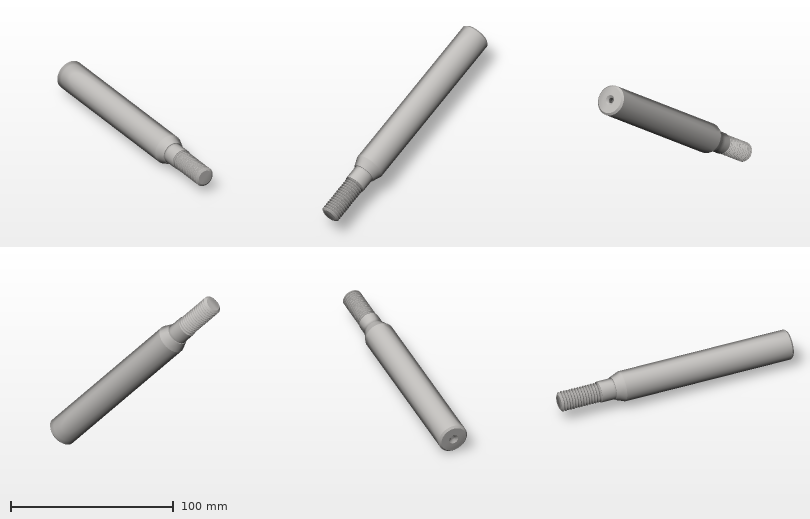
import cadquery as cq
import math

total_length = 152.4
body_diameter = 19.0
end_chamfer = 1.2

taper_start = 111.0
taper_length = 6.0
shoulder_height = 0.6
neck_length = 9.3
neck_diameter = 13.3

thread_diameter = 12.5
tip_diameter = 9.5
tip_length = 1.0
thread_flank_angle = 30.0
crest_width = 0.2
groove_count = 14

countersink_diameter = 6.1
pilot_diameter = 3.4
pilot_depth = 4.5
countersink_angle = 90.0
drill_point_angle = 120.0

plain_end = -total_length / 2
stud_end = total_length / 2
taper_x = plain_end + taper_start
neck_x = taper_x + taper_length
thread_x = neck_x + neck_length

body_radius = body_diameter / 2
neck_radius = neck_diameter / 2
taper_end_radius = neck_radius + shoulder_height
crest_radius = thread_diameter / 2
thread_length = stud_end - thread_x
thread_pitch = (thread_length - tip_length) / groove_count
groove_width = thread_pitch - crest_width
groove_depth = groove_width / 2 / math.tan(math.radians(thread_flank_angle))
root_radius = crest_radius - groove_depth


def revolve_about_x(profile):
    """Turn a closed half section, drawn in XZ, into a solid of revolution about X."""
    return profile.revolve(360, (0, 0, 0), (1, 0, 0))


def shaft_profile():
    """Half section of the shaft, from the plain end to the threaded tip."""
    profile = (
        cq.Workplane("XZ")
        .moveTo(plain_end, 0)
        .lineTo(plain_end, body_radius - end_chamfer)
        .lineTo(plain_end + end_chamfer, body_radius)
        .lineTo(taper_x, body_radius)
        .lineTo(neck_x, taper_end_radius)
        .lineTo(neck_x, neck_radius)
        .lineTo(thread_x, neck_radius)
    )
    for groove in range(groove_count):
        groove_x = thread_x + groove * thread_pitch
        profile = profile.lineTo(groove_x, crest_radius)
        profile = profile.lineTo(groove_x + groove_width / 2, root_radius)
        profile = profile.lineTo(groove_x + groove_width, crest_radius)
    return (
        profile.lineTo(stud_end - tip_length, crest_radius)
        .lineTo(stud_end, tip_diameter / 2)
        .lineTo(stud_end, 0)
        .close()
    )


def centre_hole_profile():
    """Half section of the countersink, pilot bore and drill point."""
    countersink_radius = countersink_diameter / 2
    pilot_radius = pilot_diameter / 2
    countersink_slope = math.tan(math.radians(countersink_angle / 2))
    countersink_depth = (countersink_radius - pilot_radius) / countersink_slope
    point_depth = pilot_radius / math.tan(math.radians(drill_point_angle / 2))
    return (
        cq.Workplane("XZ")
        .moveTo(plain_end, 0)
        .lineTo(plain_end, countersink_radius)
        .lineTo(plain_end + countersink_depth, pilot_radius)
        .lineTo(plain_end + pilot_depth, pilot_radius)
        .lineTo(plain_end + pilot_depth + point_depth, 0)
        .close()
    )


shaft = revolve_about_x(shaft_profile())
centre_hole = revolve_about_x(centre_hole_profile())
result = shaft.cut(centre_hole)